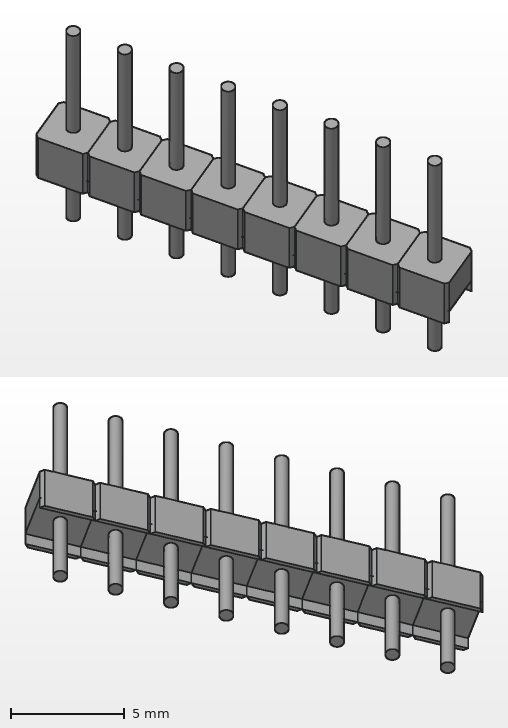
import cadquery as cq

unit_count = 8
row_length = 20.33
pitch = row_length / unit_count

block_depth = 2.5
block_height = 2.48
corner_chamfer = 0.173

channel_height = 0.7
channel_width = block_depth - 2 * corner_chamfer

pin_diameter = 0.63
pin_above_block = 6.02
pin_below_block = 3.0
pin_length = pin_below_block + block_height + pin_above_block


def make_block():
    """Block with chamfered upright edges and a channel that leaves two side walls."""
    block = (
        cq.Workplane("XY")
        .box(pitch, block_depth, block_height, centered=(True, True, False))
        .edges("|Z")
        .chamfer(corner_chamfer)
    )
    channel = cq.Workplane("XY").box(
        pitch, channel_width, channel_height, centered=(True, True, False)
    )
    return block.cut(channel)


def make_pin():
    """Straight round pin with flat ends."""
    return (
        cq.Workplane("XY")
        .workplane(offset=-pin_below_block)
        .circle(pin_diameter / 2)
        .extrude(pin_length)
    )


def make_header_unit(center_x):
    """One unit: block and pin as a single solid, centred at center_x."""
    return make_block().union(make_pin()).translate((center_x, 0, 0))


first_unit_x = (pitch - row_length) / 2
header_units = []
for index in range(unit_count):
    unit = make_header_unit(first_unit_x + index * pitch)
    header_units.append(unit.val())

result = cq.Compound.makeCompound(header_units)